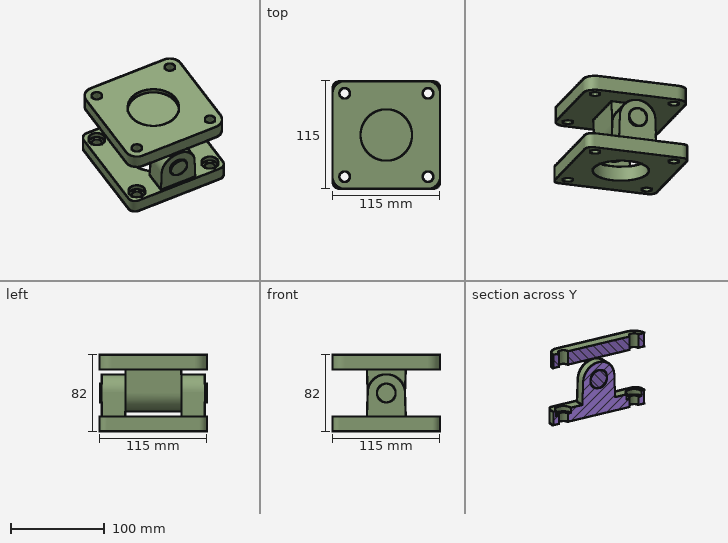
import cadquery as cq
import math

plate_side = 115.0
total_height = 82.0
plate_thickness = 16.0
axis_height = total_height / 2

base_corner_radius = 7.9
top_corner_radius = 13.0
hole_spacing = 89.0
hole_diameter = 11.0
counterbore_diameter = 18.0
counterbore_depth = 6.0

base_bore_diameter = 60.0
top_recess_diameter = 55.0
top_recess_depth = 5.0

lug_radius = 20.0
lug_taper_angle = 2.0
tongue_width = 59.8
ears_width = 110.2
ear_thickness = (ears_width - tongue_width) / 2
pin_diameter = 20.0
pin_length = 114.1


def square_plate(bottom_z, corner_radius):
    """Square plate with rounded vertical edges."""
    return (
        cq.Workplane("XY", origin=(0, 0, bottom_z))
        .rect(plate_side, plate_side)
        .extrude(plate_thickness)
        .edges("|Z")
        .fillet(corner_radius)
    )


def hinge_lug(root_z, center_y, width):
    """Lug tapering from a plate face at root_z to a round end about the pin axis."""
    angle = math.radians(lug_taper_angle)
    root_direction = math.copysign(1, root_z - axis_height)
    root_distance = abs(root_z - axis_height)
    root_half_width = lug_radius / math.cos(angle) + root_distance * math.tan(angle)
    tangent_x = lug_radius * math.cos(angle)
    tangent_z = axis_height - root_direction * lug_radius * math.sin(angle)
    tip_z = axis_height - root_direction * lug_radius
    return (
        cq.Workplane("XZ", origin=(0, center_y + width / 2, 0))
        .moveTo(-root_half_width, root_z)
        .lineTo(-tangent_x, tangent_z)
        .threePointArc((0, tip_z), (tangent_x, tangent_z))
        .lineTo(root_half_width, root_z)
        .close()
        .extrude(width)
    )


def pin_cylinder():
    """Cylinder on the hinge axis."""
    return (
        cq.Workplane("XZ", origin=(0, pin_length / 2, axis_height))
        .circle(pin_diameter / 2)
        .extrude(pin_length)
    )


def make_clevis_flange():
    """Lower plate with two bored ears, a central bore and counterbored holes."""
    flange = square_plate(0, base_corner_radius)
    ear_center = (tongue_width + ear_thickness) / 2
    for side in (-1, 1):
        flange = flange.union(hinge_lug(plate_thickness, side * ear_center, ear_thickness))
    flange = flange.cut(pin_cylinder())

    bore = cq.Workplane("XY").circle(base_bore_diameter / 2).extrude(plate_thickness)
    flange = flange.cut(bore)

    return (
        flange.copyWorkplane(cq.Workplane("XY", origin=(0, 0, plate_thickness)))
        .rect(hole_spacing, hole_spacing, forConstruction=True)
        .vertices()
        .cboreHole(hole_diameter, counterbore_diameter, counterbore_depth, depth=plate_thickness)
    )


def make_tongue_flange():
    """Upper plate with a central tongue, integral pin, round recess and plain holes."""
    plate_bottom = total_height - plate_thickness
    flange = (
        square_plate(plate_bottom, top_corner_radius)
        .union(hinge_lug(plate_bottom, 0, tongue_width))
        .union(pin_cylinder())
    )
    top_plane = cq.Workplane("XY", origin=(0, 0, total_height))
    return (
        flange.copyWorkplane(top_plane)
        .hole(top_recess_diameter, top_recess_depth)
        .copyWorkplane(top_plane)
        .rect(hole_spacing, hole_spacing, forConstruction=True)
        .vertices()
        .hole(hole_diameter, plate_thickness)
    )


clevis_flange = make_clevis_flange()
tongue_flange = make_tongue_flange()

result = cq.Compound.makeCompound([clevis_flange.solids().val(), tongue_flange.solids().val()])